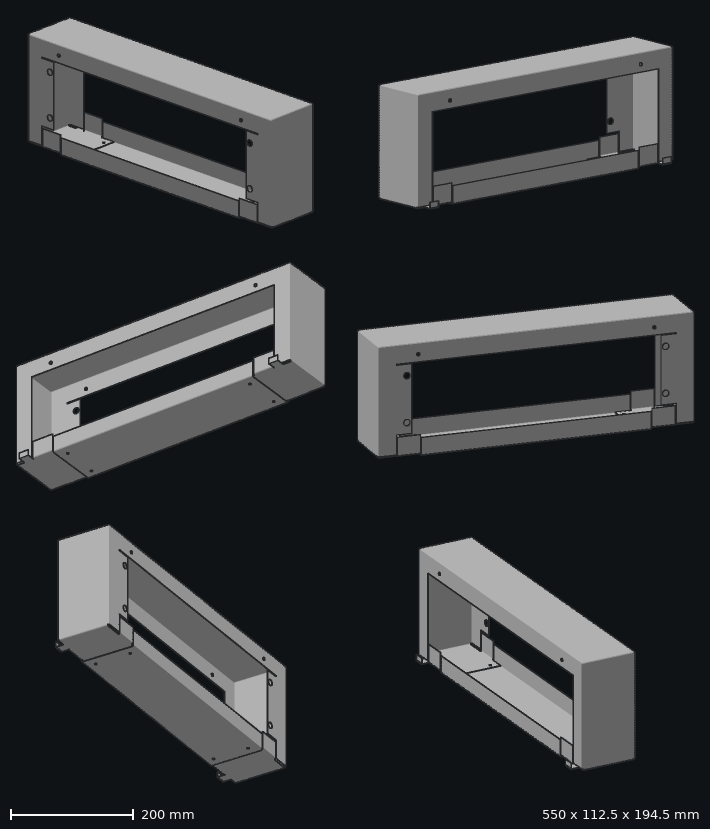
import cadquery as cq

LENGTH = 550.0
HEIGHT = 194.5
DEPTH = 100.0

SHEET = 1.5
BEND_OUTER = 3.0
BEND_INNER = BEND_OUTER - SHEET
TAB_GAP = 1.4

TOP_FLANGE = 33.5
SIDE_FLANGE = 58.5
SIDE_FLANGE_BOTTOM = 40.0
NOTCH_HALF_WIDTH = 243.0
SLIT = 1.5

FLOOR_BOTTOM = 2 * SHEET
FLOOR_TOP = FLOOR_BOTTOM + SHEET
FLAP_INNER_X = 172.5
FLAP_HALF_DEPTH = DEPTH / 2 - BEND_OUTER
TAB_TOP = 36.5

TRAY_LENGTH = 400.0
TRAY_WALL_TOP = 31.5

HOOK_REACH = 12.5
HOOK_WIDTH = 18.0
HOOK_X = 250.0
HOOK_TOP = 14.5

FLANGE_HOLE_DIAMETER = 5.5
FLANGE_HOLE_X = 205.0
FLANGE_HOLE_DROP = 20.5
SIDE_HOLE_DIAMETER = 11.0
SIDE_HOLE_X = 225.0
SIDE_HOLE_DROPS = (55.0, 135.5)
FLOOR_HOLE_DIAMETER = 4.5
FLOOR_HOLE_X = 182.5
FLOOR_HOLE_Y = 33.0

WINDOW_HALF_WIDTH = LENGTH / 2 - SIDE_FLANGE
WINDOW_TOP = HEIGHT - TOP_FLANGE
TAB_INNER_X = TRAY_LENGTH / 2 + TAB_GAP
TAB_OUTER_X = NOTCH_HALF_WIDTH - TAB_GAP
SIDES = (-1, 1)


def block(x_range, y_range, z_range):
    """Box between two limits along each axis."""
    lows, highs = zip(x_range, y_range, z_range)
    size = [high - low for low, high in zip(lows, highs)]
    return cq.Workplane("XY").box(*size, centered=False).translate(lows)


def centred_block(half_x, half_y, z_range):
    """Box centred on the part in X and Y."""
    return block((-half_x, half_x), (-half_y, half_y), z_range)


def bent_shell():
    """Hollow sheet box with every edge bent round."""
    outer = centred_block(LENGTH / 2, DEPTH / 2, (FLOOR_BOTTOM, HEIGHT)).edges().fillet(BEND_OUTER)
    inner = centred_block(LENGTH / 2 - SHEET, DEPTH / 2 - SHEET, (FLOOR_TOP, HEIGHT - SHEET))
    return outer.cut(inner.edges().fillet(BEND_INNER))


def flange_openings():
    """Front window with its slits and lower notch, and the plain back window, leaving the tabs."""
    bend_top = FLOOR_BOTTOM + BEND_OUTER
    front_y = (-DEPTH, 0)
    notch_x = (-NOTCH_HALF_WIDTH, NOTCH_HALF_WIDTH)
    front_window = block((-WINDOW_HALF_WIDTH, WINDOW_HALF_WIDTH), front_y, (bend_top, WINDOW_TOP))
    slits = block(notch_x, front_y, (WINDOW_TOP - SLIT, WINDOW_TOP))
    notch = block(notch_x, front_y, (bend_top, SIDE_FLANGE_BOTTOM))
    back_window = block(notch_x, (0, DEPTH), (bend_top, WINDOW_TOP))
    openings = front_window.union(slits).union(notch).union(back_window)
    for side in SIDES:
        tab_x = sorted((side * TAB_INNER_X, side * TAB_OUTER_X))
        openings = openings.cut(block(tab_x, (-DEPTH, DEPTH), (0, TAB_TOP)))
    return openings


def floor_reliefs():
    """Opening between the flaps, and the bends removed from the floor edges beside the tabs."""
    reliefs = centred_block(FLAP_INNER_X, DEPTH, (0, FLOOR_TOP + BEND_OUTER))
    relief_z = (0, FLOOR_BOTTOM + BEND_OUTER)
    for end in SIDES:
        edge_y = sorted((end * FLAP_HALF_DEPTH, end * DEPTH))
        reliefs = reliefs.union(block((-TAB_INNER_X, TAB_INNER_X), edge_y, relief_z))
        for side in SIDES:
            corner_x = sorted((side * TAB_OUTER_X, side * LENGTH))
            reliefs = reliefs.union(block(corner_x, edge_y, relief_z))
    return reliefs


def hook(centre_x):
    """Strip running back from the floor and turned up at its end."""
    x_range = (centre_x - HOOK_WIDTH / 2, centre_x + HOOK_WIDTH / 2)
    end_y = DEPTH / 2 + HOOK_REACH
    strip = block(x_range, (FLAP_HALF_DEPTH, end_y), (FLOOR_BOTTOM, FLOOR_TOP))
    lip = block(x_range, (end_y - SHEET, end_y), (FLOOR_BOTTOM, HOOK_TOP))
    return strip.union(lip)


def flange_holes():
    """Small holes in both top flanges and larger holes in the front side flanges."""
    small = [(side * FLANGE_HOLE_X, HEIGHT - FLANGE_HOLE_DROP) for side in SIDES]
    large = [(side * SIDE_HOLE_X, HEIGHT - drop) for side in SIDES for drop in SIDE_HOLE_DROPS]
    plane = cq.Workplane("XZ")
    small_drills = plane.pushPoints(small).circle(FLANGE_HOLE_DIAMETER / 2).extrude(DEPTH, both=True)
    large_drills = plane.pushPoints(large).circle(SIDE_HOLE_DIAMETER / 2).extrude(DEPTH, both=True)
    return small_drills.union(large_drills)


def floor_holes():
    """Holes passing through the flaps and the tray floor under them."""
    points = [(side * FLOOR_HOLE_X, end * FLOOR_HOLE_Y) for side in SIDES for end in SIDES]
    return cq.Workplane("XY").pushPoints(points).circle(FLOOR_HOLE_DIAMETER / 2).extrude(FLOOR_TOP)


def make_housing():
    housing = bent_shell().cut(flange_openings()).cut(floor_reliefs())
    for side in SIDES:
        housing = housing.union(hook(side * HOOK_X))
    return housing.cut(flange_holes()).cut(floor_holes())


def make_tray():
    """Channel of bent sheet, open at both ends, that runs below the two flaps."""
    half_x = TRAY_LENGTH / 2
    outer = centred_block(half_x, DEPTH / 2, (0, TRAY_WALL_TOP))
    inner = centred_block(half_x, DEPTH / 2 - SHEET, (SHEET, TRAY_WALL_TOP))
    outer = outer.edges("|X and <Z").fillet(BEND_OUTER)
    inner = inner.edges("|X and <Z").fillet(BEND_INNER)
    return outer.cut(inner).cut(floor_holes())


housing = make_housing()
tray = make_tray()

result = cq.Compound.makeCompound([housing.val(), tray.val()])